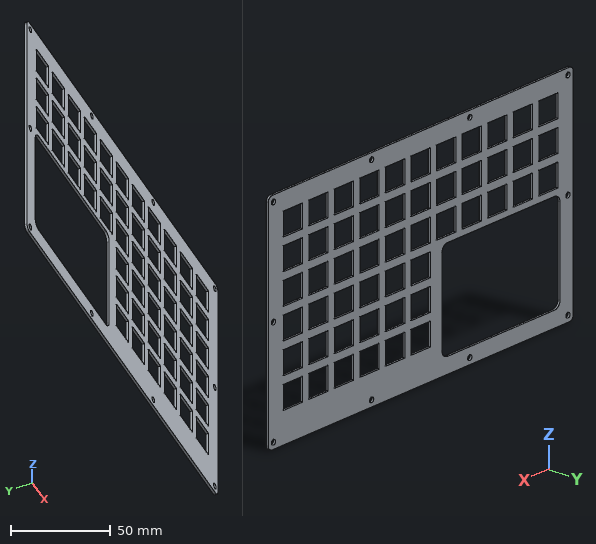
import cadquery as cq

plate_width = 227.5
plate_height = 140.0
plate_thickness = 1.5
plate_corner_radius = 3.0

screw_diameter = 3.0
screw_span_x = 219.5
screw_span_z = 132.0
screw_columns = 4
screw_rows = 3

key_size = 14.0
key_columns = 11
key_rows = 6
key_span_x = 190.5
key_pitch = key_span_x / (key_columns - 1)
key_grid_center_z = 3.9

window_width = 87.8
window_height = 62.3
window_corner_radius = 4.0
window_left_margin = 10.0
window_bottom_margin = 10.0
window_key_columns = 5
window_key_rows = 3


def box_at(x, z, width, height):
    """Box as thick as the plate, centred at (x, z)."""
    return cq.Workplane("XY").box(width, plate_thickness, height).translate((x, 0, z))


def screw_points():
    """Screw centres: full top and bottom rows, only the two ends of the middle row."""
    points = []
    for column in range(screw_columns):
        for row in range(screw_rows):
            on_side = column in (0, screw_columns - 1)
            on_top_or_bottom = row in (0, screw_rows - 1)
            if on_side or on_top_or_bottom:
                x = screw_span_x * (column / (screw_columns - 1) - 0.5)
                z = screw_span_z * (row / (screw_rows - 1) - 0.5)
                points.append((x, z))
    return points


def key_points():
    """Key centres, counted from the lower left and leaving out the window's keys."""
    points = []
    for column in range(key_columns):
        for row in range(key_rows):
            if column < window_key_columns and row < window_key_rows:
                continue
            x = key_pitch * (column - (key_columns - 1) / 2)
            z = key_grid_center_z + key_pitch * (row - (key_rows - 1) / 2)
            points.append((x, z))
    return points


def window_cutter():
    """Rounded rectangle placed by its margins from the plate's left and bottom edges."""
    x = -plate_width / 2 + window_left_margin + window_width / 2
    z = -plate_height / 2 + window_bottom_margin + window_height / 2
    return box_at(x, z, window_width, window_height).edges("|Y").fillet(window_corner_radius)


plate = box_at(0, 0, plate_width, plate_height).edges("|Y").fillet(plate_corner_radius)
plate = plate.faces("<Y").workplane(origin=(0, 0, 0)).pushPoints(screw_points()).hole(screw_diameter)
plate = plate.faces("<Y").workplane(origin=(0, 0, 0)).pushPoints(key_points())
plate = plate.rect(key_size, key_size).cutThruAll()
result = plate.cut(window_cutter())